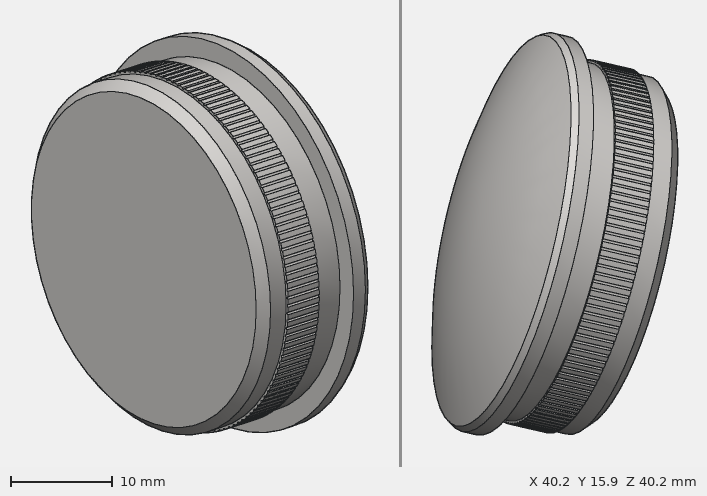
import cadquery as cq
import math

flange_diameter = 40.2
plug_diameter = 36.1
total_length = 15.88

knurl_start = 3.0
knurl_end = 7.05
flange_start = 9.95
flange_rim_end = 11.5
dome_start = 12.2

plug_chamfer = 1.0
rim_bevel_inset = 0.4

knurl_diameter = 36.7
groove_count = 140
groove_radius = 0.13


def revolved_body():
    """Plug, flange and spherical dome turned about the Y axis."""
    plug_radius = plug_diameter / 2
    flange_radius = flange_diameter / 2
    dome_edge_radius = flange_radius - rim_bevel_inset
    dome_height = total_length - dome_start
    sphere_radius = (dome_edge_radius**2 + dome_height**2) / (2 * dome_height)
    half_angle = math.asin(dome_edge_radius / sphere_radius) / 2
    arc_middle = (
        sphere_radius * math.sin(half_angle),
        total_length - sphere_radius * (1 - math.cos(half_angle)),
    )
    return (
        cq.Workplane("XY")
        .moveTo(0, 0)
        .lineTo(plug_radius - plug_chamfer, 0)
        .lineTo(plug_radius, plug_chamfer)
        .lineTo(plug_radius, flange_start)
        .lineTo(flange_radius, flange_start)
        .lineTo(flange_radius, flange_rim_end)
        .lineTo(dome_edge_radius, dome_start)
        .threePointArc(arc_middle, (0, total_length))
        .close()
        .revolve(360, (0, 0, 0), (0, 1, 0))
    )


def knurled_band():
    """Band around the plug with round-bottomed grooves running along Y."""
    band_radius = knurl_diameter / 2
    pitch = 2 * math.pi / groove_count
    groove_half_angle = math.asin(groove_radius / band_radius)

    def on_circle(radius, angle):
        return (radius * math.cos(angle), radius * math.sin(angle))

    outline = cq.Workplane("XZ", origin=(0, knurl_end, 0))
    outline = outline.moveTo(*on_circle(band_radius, -groove_half_angle))
    for groove in range(groove_count):
        groove_angle = groove * pitch
        groove_end = groove_angle + groove_half_angle
        next_groove_start = groove_angle + pitch - groove_half_angle
        outline = outline.threePointArc(
            on_circle(band_radius - groove_radius, groove_angle),
            on_circle(band_radius, groove_end),
        )
        outline = outline.threePointArc(
            on_circle(band_radius, groove_angle + pitch / 2),
            on_circle(band_radius, next_groove_start),
        )
    return outline.close().extrude(knurl_end - knurl_start)


result = revolved_body().union(knurled_band())